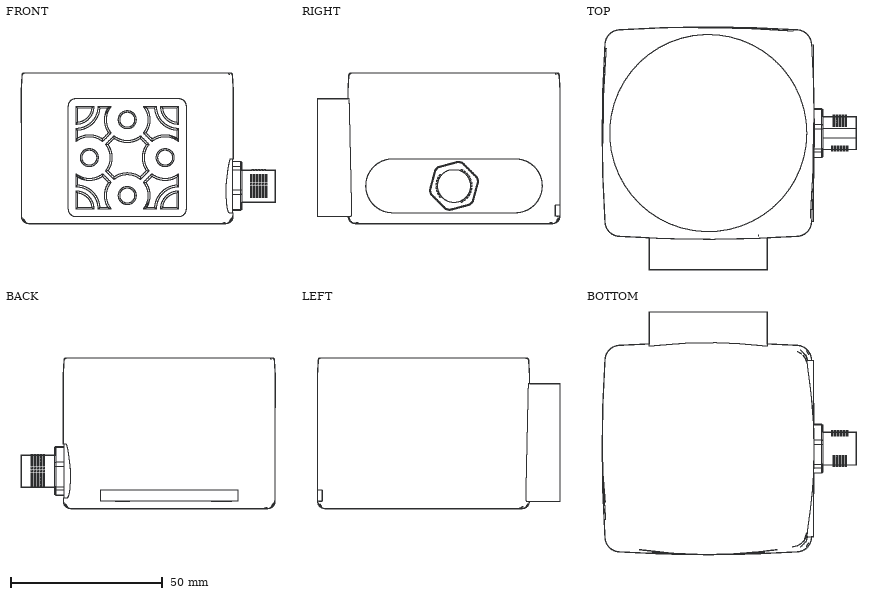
import cadquery as cq
import math

HOUSING_WIDTH = 70.0
HOUSING_HEIGHT = 49.7
HALF_WIDTH = HOUSING_WIDTH / 2
OVERALL_LENGTH = 83.8
OVERALL_DEPTH = 80.0
CONNECTOR_TIP_X = OVERALL_LENGTH - HALF_WIDTH
MOUNT_FACE_Y = HALF_WIDTH - OVERALL_DEPTH

SHOULDER_Z = 43.6
TOP_INSET = 0.3
BOTTOM_INSET = 0.1
BOTTOM_BULGE_RADIUS = 146.65
SHOULDER_BULGE_RADIUS = 460.9
TOP_BULGE_RADIUS = 349.45
BOTTOM_CORNER_RADIUS = 5.9
SHOULDER_CORNER_RADIUS = 5.0
TOP_CORNER_RADIUS = 6.3
BOTTOM_FILLET = 2.5
TOP_FILLET = 0.7
SENSING_FACE_DIAMETER = 64.95
SENSING_FACE_DEPTH = 0.1

MOUNT_SIZE = 38.9
MOUNT_CENTER_Z = 21.8
MOUNT_CORNER_RADIUS = 2.5
CORE_SIZE = 33.7
CORE_DEPTH = 16.8
WALL_DRAFT = 1.5
BOSS_DRAFT = 2.2
BOSS_DIAMETER = 13.75
BOSS_OFFSET = 12.5
RIB_THICKNESS = 1.3
CORNER_POCKET_RADIUS = 5.9
SCREW_HOLE_DIAMETER = 4.95
SCREW_HOLE_DEPTH = 12.6
SCREW_HOLE_CHAMFER = 0.5

SEAT_FACE_X = 34.7
SEAT_LENGTH = 58.15
SEAT_HEIGHT = 17.8
SEAT_DEPTH = 16.8
CONNECTOR_Z = 12.5

PAD_LENGTH = 45.25
PAD_BULGE_RADIUS = 156.7
PAD_THICKNESS = 1.7
PAD_BOTTOM_Z = 2.5
PAD_TOP_Z = 6.2

NUT_ACROSS_FLATS = 14.9
NUT_CORNER_DIAMETER = 16.4
NUT_THICKNESS = 3.0
NUT_TURN = 15.0
NUT_CHAMFER = 0.3
SLEEVE_DIAMETER = 10.9
SLEEVE_FLAT_WIDTH = 3.1
GRIP_CENTER_X = 43.3
GRIP_PITCH = 1.0
GRIP_STUD_SIZE = 0.5
GRIP_STUD_HEIGHT = 0.5
GRIP_STUD_ROOT = 0.4
FRONT_GRIP_COLUMNS = 6
FRONT_GRIP_ROWS = 8
BACK_GRIP_COLUMNS = 5
BACK_GRIP_ROWS = 13


def turned(point, angle):
    """The point turned about the origin by an angle in radians."""
    x, y = point
    cosine = math.cos(angle)
    sine = math.sin(angle)
    return (x * cosine - y * sine, x * sine + y * cosine)


def bulged_square(z, half_width, bulge_radius, corner_radius):
    """Closed outline of four bulging sides joined by tangent corner arcs."""
    side_center = bulge_radius - half_width
    reach = bulge_radius - corner_radius
    corner = (math.sqrt(2 * reach**2 - side_center**2) - side_center) / 2
    tangent_x = corner * bulge_radius / reach
    tangent_y = (corner + side_center) * bulge_radius / reach - side_center
    corner_tip = corner + corner_radius / math.sqrt(2)

    outline = cq.Workplane("XY", origin=(0, 0, z)).moveTo(-tangent_x, -tangent_y)
    for quarter in range(4):
        angle = quarter * math.pi / 2
        side_middle = turned((0, -half_width), angle)
        side_end = turned((tangent_x, -tangent_y), angle)
        corner_middle = turned((corner_tip, -corner_tip), angle)
        corner_end = turned((tangent_y, -tangent_x), angle)
        outline = outline.threePointArc(side_middle, side_end)
        outline = outline.threePointArc(corner_middle, corner_end)
    return outline.close().val()


def make_shell():
    bottom = bulged_square(0, HALF_WIDTH - BOTTOM_INSET, BOTTOM_BULGE_RADIUS, BOTTOM_CORNER_RADIUS)
    shoulder = bulged_square(SHOULDER_Z, HALF_WIDTH, SHOULDER_BULGE_RADIUS, SHOULDER_CORNER_RADIUS)
    top = bulged_square(HOUSING_HEIGHT, HALF_WIDTH - TOP_INSET, TOP_BULGE_RADIUS, TOP_CORNER_RADIUS)
    lower = cq.Workplane(cq.Solid.makeLoft([bottom, shoulder], True))
    upper = cq.Workplane(cq.Solid.makeLoft([shoulder, top], True))
    lower = lower.faces("<Z").edges().fillet(BOTTOM_FILLET)
    upper = upper.faces(">Z").edges().fillet(TOP_FILLET)
    sensing_face = (
        cq.Workplane("XY", origin=(0, 0, HOUSING_HEIGHT))
        .circle(SENSING_FACE_DIAMETER / 2)
        .extrude(-SENSING_FACE_DEPTH)
    )
    return lower.union(upper).cut(sensing_face)


def mount_plane():
    """Front face of the mounting block: local x is X, local y is Z, normal is -Y."""
    return cq.Workplane("XZ", origin=(0, MOUNT_FACE_Y, MOUNT_CENTER_Z))


def boss_centers():
    return [(BOSS_OFFSET, 0), (0, BOSS_OFFSET), (-BOSS_OFFSET, 0), (0, -BOSS_OFFSET)]


def make_mount_block():
    block = mount_plane().rect(MOUNT_SIZE, MOUNT_SIZE).extrude(MOUNT_FACE_Y)
    return block.edges("|Y").fillet(MOUNT_CORNER_RADIUS)


def make_core():
    """Material removed from the block, drafted so that bosses and ribs widen with depth."""
    core = mount_plane().rect(CORE_SIZE, CORE_SIZE).extrude(-CORE_DEPTH, taper=WALL_DRAFT)

    for x, z in boss_centers():
        boss = mount_plane().center(x, z).circle(BOSS_DIAMETER / 2)
        core = core.cut(boss.extrude(-CORE_DEPTH, taper=-BOSS_DRAFT))

    rib_length = BOSS_OFFSET * math.sqrt(2)
    rib_middle = BOSS_OFFSET / 2
    corner_at = CORE_SIZE / 2
    for x_sign in (-1, 1):
        for z_sign in (-1, 1):
            rib = (
                mount_plane()
                .center(x_sign * rib_middle, z_sign * rib_middle)
                .transformed(rotate=(0, 0, -45 * x_sign * z_sign))
                .rect(rib_length, RIB_THICKNESS)
                .extrude(-CORE_DEPTH, taper=-BOSS_DRAFT)
            )
            corner = (x_sign * corner_at, z_sign * corner_at)
            ring_outside = mount_plane().center(*corner).circle(CORNER_POCKET_RADIUS + RIB_THICKNESS)
            ring_inside = mount_plane().center(*corner).circle(CORNER_POCKET_RADIUS)
            ring = ring_outside.extrude(-CORE_DEPTH, taper=-BOSS_DRAFT).cut(
                ring_inside.extrude(-CORE_DEPTH, taper=BOSS_DRAFT)
            )
            core = core.cut(rib).cut(ring)
    return core


def make_screw_holes():
    holes = mount_plane().pushPoints(boss_centers())
    holes = holes.circle(SCREW_HOLE_DIAMETER / 2).extrude(-SCREW_HOLE_DEPTH)
    mouth_radius = SCREW_HOLE_DIAMETER / 2 + SCREW_HOLE_CHAMFER
    mouths = mount_plane().pushPoints(boss_centers()).circle(mouth_radius)
    return holes.union(mouths.extrude(-SCREW_HOLE_CHAMFER, taper=45))


def connector_plane():
    """Face of the connector seat: local x is Y, local y is Z, normal is +X."""
    return cq.Workplane("YZ", origin=(SEAT_FACE_X, 0, CONNECTOR_Z))


def make_seat(length):
    """Stadium prism standing on the connector seat plane, pointing along X."""
    return connector_plane().slot2D(SEAT_LENGTH, SEAT_HEIGHT).extrude(length)


def make_pad():
    """Curved pad whose crown is level with the widest part of the housing; most of it is sunk."""
    half_length = PAD_LENGTH / 2
    sag = PAD_BULGE_RADIUS - math.sqrt(PAD_BULGE_RADIUS**2 - half_length**2)
    end_y = HALF_WIDTH - sag
    back_y = end_y - PAD_THICKNESS
    return (
        cq.Workplane("XY", origin=(0, 0, PAD_BOTTOM_Z))
        .moveTo(-half_length, back_y)
        .lineTo(half_length, back_y)
        .lineTo(half_length, end_y)
        .threePointArc((0, HALF_WIDTH), (-half_length, end_y))
        .close()
        .extrude(PAD_TOP_Z - PAD_BOTTOM_Z)
    )


def make_housing():
    housing = make_shell().union(make_pad())
    housing = housing.cut(make_seat(HALF_WIDTH)).union(make_seat(-SEAT_DEPTH))
    housing = housing.union(make_mount_block())
    return housing.cut(make_core()).cut(make_screw_holes())


def make_nut():
    corner_to_corner = NUT_ACROSS_FLATS / math.cos(math.pi / 6)
    hexagon = connector_plane().transformed(rotate=(0, 0, NUT_TURN)).polygon(6, corner_to_corner)
    hexagon = hexagon.extrude(NUT_THICKNESS)
    rounding = connector_plane().circle(NUT_CORNER_DIAMETER / 2).extrude(NUT_THICKNESS)
    return hexagon.intersect(rounding).faces(">X").edges().chamfer(NUT_CHAMFER)


def make_sleeve():
    """Round sleeve with a narrow flat along its top."""
    length = CONNECTOR_TIP_X - SEAT_FACE_X
    radius = SLEEVE_DIAMETER / 2
    flat_half = SLEEVE_FLAT_WIDTH / 2
    flat_height = math.sqrt(radius**2 - flat_half**2)
    return (
        connector_plane()
        .moveTo(-flat_half, flat_height)
        .threePointArc((0, -radius), (flat_half, flat_height))
        .close()
        .extrude(length)
    )


def make_grip(side, columns, rows):
    """Grid of small studs wrapped round the -Y side (side = -1) or the +Y side (side = 1)."""
    radius = SLEEVE_DIAMETER / 2
    step_angle = math.degrees(GRIP_PITCH / radius)
    height = GRIP_STUD_ROOT + GRIP_STUD_HEIGHT
    middle_radius = radius + (GRIP_STUD_HEIGHT - GRIP_STUD_ROOT) / 2
    studs = []
    for column in range(columns):
        x = GRIP_CENTER_X + (column - (columns - 1) / 2) * GRIP_PITCH
        for row in range(rows):
            angle = (row - (rows - 1) / 2) * step_angle
            stud = cq.Workplane("XY").box(GRIP_STUD_SIZE, height, GRIP_STUD_SIZE)
            stud = stud.translate((x, side * middle_radius, 0))
            stud = stud.rotate((0, 0, 0), (1, 0, 0), angle)
            studs.append(stud.translate((0, 0, CONNECTOR_Z)).val())
    return studs


def make_connector():
    body = make_nut().union(make_sleeve()).val()
    studs = make_grip(-1, FRONT_GRIP_COLUMNS, FRONT_GRIP_ROWS)
    studs += make_grip(1, BACK_GRIP_COLUMNS, BACK_GRIP_ROWS)
    return cq.Workplane(body.fuse(*studs))


housing = make_housing()
connector = make_connector()

result = cq.Compound.makeCompound([*housing.vals(), *connector.vals()])